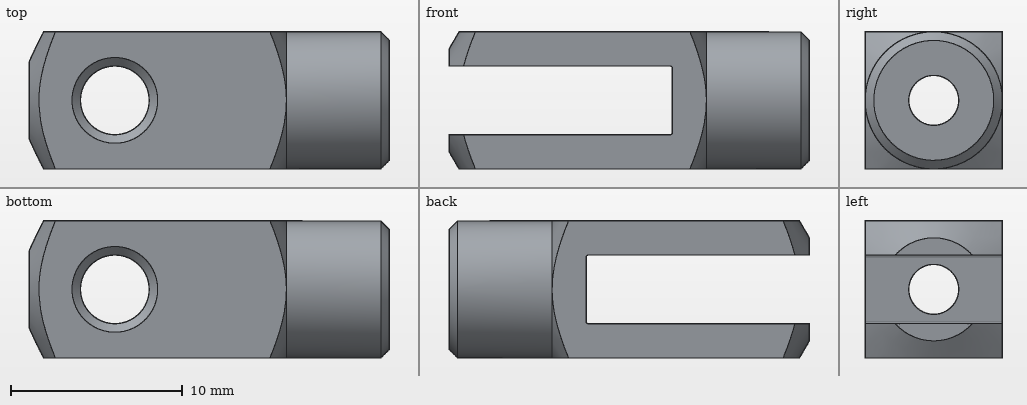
import cadquery as cq
import math

length = 21.0
width = 8.0
neck_length = 6.0
neck_chamfer = 0.5
slot_width = 4.0
slot_depth = 13.0
slot_fillet = 0.1
pin_diameter = 4.0
pin_position = 5.0
countersink_depth = 0.5
bore_diameter = 2.9
nose_radius = 3.0
cone_angle = 30.0

half_width = width / 2
body_length = length - neck_length
corner_radius = half_width * math.sqrt(2)
outer_radius = corner_radius + 0.2
cone_slope = math.tan(math.radians(cone_angle))


def turned_envelope():
    """Revolved blank with coned body ends and a chamfered neck."""
    front_run = (outer_radius - nose_radius) * cone_slope
    rear_run = (outer_radius - half_width) * cone_slope
    profile = (
        cq.Workplane("XY")
        .moveTo(0, 0)
        .lineTo(0, nose_radius)
        .lineTo(front_run, outer_radius)
        .lineTo(body_length - rear_run, outer_radius)
        .lineTo(body_length, half_width)
        .lineTo(length - neck_chamfer, half_width)
        .lineTo(length, half_width - neck_chamfer)
        .lineTo(length, 0)
        .close()
    )
    return profile.revolve(360, (0, 0, 0), (1, 0, 0))


def fork_slot():
    """Slot through the full width, with slightly rounded floor corners."""
    slot = cq.Workplane("XY").box(slot_depth, width, slot_width)
    return slot.edges(">X and |Y").fillet(slot_fillet).translate((slot_depth / 2, 0, 0))


def axial_bore():
    return cq.Workplane("YZ").circle(bore_diameter / 2).extrude(length)


def pin_hole():
    """Cross hole along Z, countersunk at 45 degrees on both outer faces."""
    pin_radius = pin_diameter / 2
    rim_radius = pin_radius + countersink_depth
    sink_start = half_width - countersink_depth
    profile = (
        cq.Workplane("XZ")
        .moveTo(0, -half_width)
        .lineTo(rim_radius, -half_width)
        .lineTo(pin_radius, -sink_start)
        .lineTo(pin_radius, sink_start)
        .lineTo(rim_radius, half_width)
        .lineTo(0, half_width)
        .close()
    )
    return profile.revolve(360, (0, 0, 0), (0, 1, 0)).translate((pin_position, 0, 0))


square_bar = cq.Workplane("YZ").rect(width, width).extrude(length)
blank = square_bar.intersect(turned_envelope())
result = blank.cut(fork_slot()).cut(axial_bore()).cut(pin_hole())